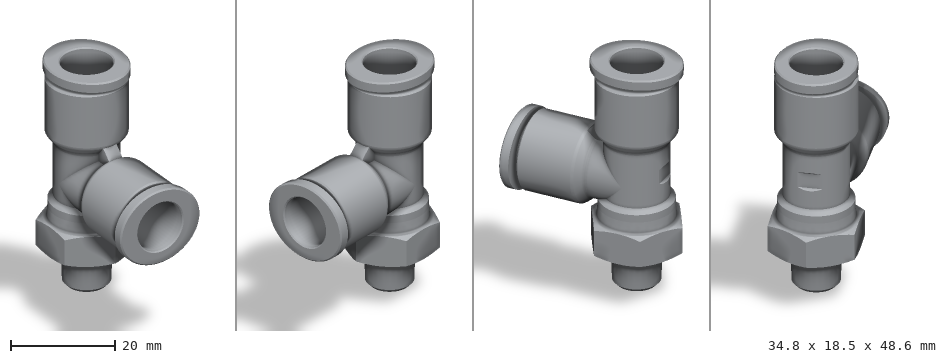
import cadquery as cq
import math


total_height = 48.6
port_length = 25.0
branch_z = total_height - port_length

stud_tip_radius = 4.75
stud_root_radius = 4.95
stud_chamfer_height = 0.85
stud_end_radius = 4.0
hex_bottom_z = 8.0
hex_top_z = 14.7
hex_across_flats = 17.0
hex_corner_radius = hex_across_flats / math.sqrt(3)
hex_bevel_radius = hex_across_flats / 2
hex_bevel_height = 0.6
collar_foot_radius = 7.75
collar_radius = 7.55
collar_fillet = 0.4
collar_cone_top_z = 17.1
collar_shoulder_z = 18.7
collar_top_z = 19.65

neck_radius = 6.5
body_radius = 8.1
neck_end = 7.95
body_start = 9.95
body_end = 21.8
neck_body_fillet = 1.0
body_chamfer = 0.3
sleeve_radius = 5.85
flange_start = 22.95
flange_long_radius = 18.5 / 2
flange_short_radius = 8.0
flange_chamfer = 0.3
bore_radius = 5.2
bore_chamfer = 0.25
bore_bottom = neck_end

web_thickness = 3.1
web_edge_sum = 17.7
web_inner = 5.85
notch_center_z = 25.6
notch_floor_length = 3.1
notch_mouth_length = 4.0
notch_floor_x = 6.05


def revolve_profile(profile):
    """Turn a closed XZ outline one full revolution about Z."""
    return profile.close().revolve(360, (0, 0, 0), (0, 1, 0))


def make_stud():
    return revolve_profile(
        cq.Workplane("XZ")
        .lineTo(stud_end_radius, 0)
        .lineTo(stud_tip_radius, stud_chamfer_height)
        .lineTo(stud_root_radius, hex_bottom_z)
        .lineTo(0, hex_bottom_z)
    )


def make_hexagon():
    """Hexagon with corners on the X axis, bevelled at both ends."""
    height = hex_top_z - hex_bottom_z
    prism = (
        cq.Workplane("XY")
        .workplane(offset=hex_bottom_z)
        .polygon(6, 2 * hex_corner_radius)
        .extrude(height)
    )
    bevel_envelope = revolve_profile(
        cq.Workplane("XZ")
        .moveTo(0, hex_bottom_z)
        .lineTo(hex_bevel_radius, hex_bottom_z)
        .lineTo(hex_corner_radius, hex_bottom_z + hex_bevel_height)
        .lineTo(hex_corner_radius, hex_top_z - hex_bevel_height)
        .lineTo(hex_bevel_radius, hex_top_z)
        .lineTo(0, hex_top_z)
    )
    return prism.intersect(bevel_envelope)


def make_collar():
    """Stepped collar with a concave fillet where it meets the hexagon."""
    fillet_start = (collar_foot_radius + collar_fillet, hex_top_z)
    fillet_end = (collar_foot_radius, hex_top_z + collar_fillet)
    sag = collar_fillet * (1 - math.sqrt(0.5))
    fillet_middle = (collar_foot_radius + sag, hex_top_z + sag)
    return revolve_profile(
        cq.Workplane("XZ")
        .moveTo(0, hex_top_z)
        .lineTo(*fillet_start)
        .threePointArc(fillet_middle, fillet_end)
        .lineTo(collar_radius, collar_cone_top_z)
        .lineTo(collar_radius, collar_shoulder_z)
        .lineTo(neck_radius, collar_top_z)
        .lineTo(0, collar_top_z)
    )


def make_port(neck_start, flange_radius_x, flange_radius_y):
    """Port along +Z: neck, flared body, sleeve and oval release flange."""
    neck_and_body = revolve_profile(
        cq.Workplane("XZ")
        .moveTo(0, neck_start)
        .lineTo(neck_radius, neck_start)
        .lineTo(neck_radius, neck_end)
        .lineTo(body_radius, body_start)
        .lineTo(body_radius, body_end)
        .lineTo(0, body_end)
    )
    reach = 2 * body_radius
    flare_edges = cq.selectors.BoxSelector(
        (-reach, -reach, neck_end - neck_body_fillet),
        (reach, reach, body_start + neck_body_fillet),
    )
    neck_and_body = neck_and_body.faces(">Z").edges().chamfer(body_chamfer)
    neck_and_body = neck_and_body.edges(flare_edges).edges("%CIRCLE").fillet(neck_body_fillet)

    sleeve = (
        cq.Workplane("XY")
        .workplane(offset=body_end)
        .circle(sleeve_radius)
        .extrude(flange_start - body_end)
    )
    flange = (
        cq.Workplane("XY")
        .workplane(offset=flange_start)
        .ellipse(flange_radius_x, flange_radius_y)
        .extrude(port_length - flange_start)
        .faces(">Z")
        .edges()
        .chamfer(flange_chamfer)
    )
    return neck_and_body.union(sleeve).union(flange)


def make_bore():
    """Blind tube socket along +Z with a chamfered mouth."""
    return revolve_profile(
        cq.Workplane("XZ")
        .moveTo(0, bore_bottom)
        .lineTo(bore_radius, bore_bottom)
        .lineTo(bore_radius, port_length - bore_chamfer)
        .lineTo(bore_radius + bore_chamfer, port_length)
        .lineTo(0, port_length)
    )


def to_run(shape):
    return shape.translate((0, 0, branch_z))


def to_branch(shape):
    return shape.rotate((0, 0, 0), (0, 1, 0), 90).translate((0, 0, branch_z))


def make_web():
    """Triangular web filling the inner corner between the two ports."""
    web_outer = web_edge_sum - web_inner
    web = (
        cq.Workplane("XZ")
        .polyline([(web_inner, web_inner), (web_outer, web_inner), (web_inner, web_outer)])
        .close()
        .extrude(web_thickness / 2, both=True)
    )
    return to_run(web)


def make_notch():
    """Flat-floored cut with sloping ends on the -X side of the run."""
    return (
        cq.Workplane("XZ")
        .polyline([
            (-notch_floor_x, notch_center_z - notch_floor_length / 2),
            (-neck_radius, notch_center_z - notch_mouth_length / 2),
            (-neck_radius, notch_center_z + notch_mouth_length / 2),
            (-notch_floor_x, notch_center_z + notch_floor_length / 2),
        ])
        .close()
        .extrude(neck_radius, both=True)
    )


run_port = to_run(make_port(collar_top_z - branch_z, flange_long_radius, flange_short_radius))
branch_port = to_branch(make_port(0, flange_short_radius, flange_long_radius))

result = make_stud()
for part in (make_hexagon(), make_collar(), run_port, branch_port, make_web()):
    result = result.union(part)

result = result.cut(to_run(make_bore())).cut(to_branch(make_bore())).cut(make_notch())